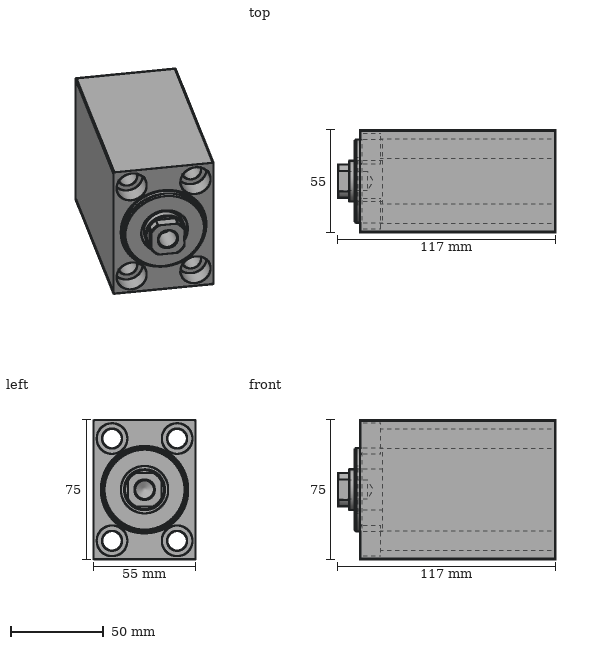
import cadquery as cq
import math


total_length = 117.0
housing_width = 55.0
housing_height = 75.0
housing_edge_chamfer = 0.5

screw_spacing_y = 35.0
screw_spacing_z = 55.0
screw_hole_diameter = 10.5
screw_head_diameter = 16.5
screw_head_depth = 11.0

cover_diameter = 45.0
cover_projection = 3.0
cover_seat_depth = 12.0
cover_chamfer = 1.0
mouth_diameter = 47.0
wiper_recess_diameter = 25.5
wiper_recess_depth = 2.0

rod_diameter = 22.0
rod_collar_length = 3.0
rod_end_length = 6.0
rod_end_diameter = 21.1
rod_flats_width = 18.0
rod_end_chamfer = 0.29
tapped_hole_diameter = 10.2
tapped_hole_depth = 16.0
tapped_mouth_diameter = 11.0
drill_tip_angle = 118.0

cover_front_x = -cover_projection
rod_collar_front_x = cover_front_x - rod_collar_length
rod_front_x = rod_collar_front_x - rod_end_length
housing_length = total_length + rod_front_x
mouth_chamfer = (mouth_diameter - cover_diameter) / 2
rod_collar_chamfer = (rod_diameter - rod_end_diameter) / 2
tapped_mouth_chamfer = (tapped_mouth_diameter - tapped_hole_diameter) / 2


def cylinder_x(diameter, start_x, end_x):
    """Cylinder on the X axis between two X positions."""
    return cq.Workplane("YZ", origin=(start_x, 0, 0)).circle(diameter / 2).extrude(end_x - start_x)


def make_housing():
    """Block with a blind chamfered cover seat and four counterbored screw holes."""
    block = (
        cq.Workplane("YZ")
        .rect(housing_width, housing_height)
        .extrude(housing_length)
        .edges("|X")
        .chamfer(housing_edge_chamfer)
    )
    seat = cylinder_x(cover_diameter, 0, cover_seat_depth)
    block = block.cut(seat).faces("<X").edges("%CIRCLE").chamfer(mouth_chamfer)
    return (
        block.faces("<X")
        .workplane(origin=(0, 0, 0))
        .rect(screw_spacing_y, screw_spacing_z, forConstruction=True)
        .vertices()
        .cboreHole(screw_hole_diameter, screw_head_diameter, screw_head_depth)
    )


def make_cover():
    """Round gland cover with a rod bore and a shallow wiper recess."""
    disc = cylinder_x(cover_diameter, cover_front_x, cover_seat_depth).faces("<X").chamfer(cover_chamfer)
    bore = cylinder_x(rod_diameter, cover_front_x, cover_seat_depth)
    recess = cylinder_x(wiper_recess_diameter, cover_front_x, cover_front_x + wiper_recess_depth)
    return disc.cut(bore).cut(recess)


def make_tapped_hole():
    """Blind drilled hole with a chamfered mouth and a conical tip, as a cutting body."""
    radius = tapped_hole_diameter / 2
    tip_length = radius / math.tan(math.radians(drill_tip_angle / 2))
    bottom_x = rod_front_x + tapped_hole_depth
    return (
        cq.Workplane("XY")
        .moveTo(rod_front_x, 0)
        .lineTo(rod_front_x, tapped_mouth_diameter / 2)
        .lineTo(rod_front_x + tapped_mouth_chamfer, radius)
        .lineTo(bottom_x, radius)
        .lineTo(bottom_x + tip_length, 0)
        .close()
        .revolve(360, (0, 0, 0), (1, 0, 0))
    )


def make_rod():
    """Piston rod with four wrench flats and a tapped hole in its end."""
    shaft = cylinder_x(rod_diameter, rod_collar_front_x, cover_seat_depth)
    shaft = shaft.faces("<X").chamfer(rod_collar_chamfer)
    square = (
        cq.Workplane("YZ", origin=(rod_front_x, 0, 0))
        .rect(rod_flats_width, rod_flats_width)
        .extrude(rod_end_length)
    )
    end = cylinder_x(rod_end_diameter, rod_front_x, rod_collar_front_x)
    end = end.faces("<X").chamfer(rod_end_chamfer)
    return shaft.union(end.intersect(square)).cut(make_tapped_hole())


housing = make_housing()
cover = make_cover()
rod = make_rod()

result = cq.Compound.makeCompound([housing.val(), cover.val(), rod.val()])